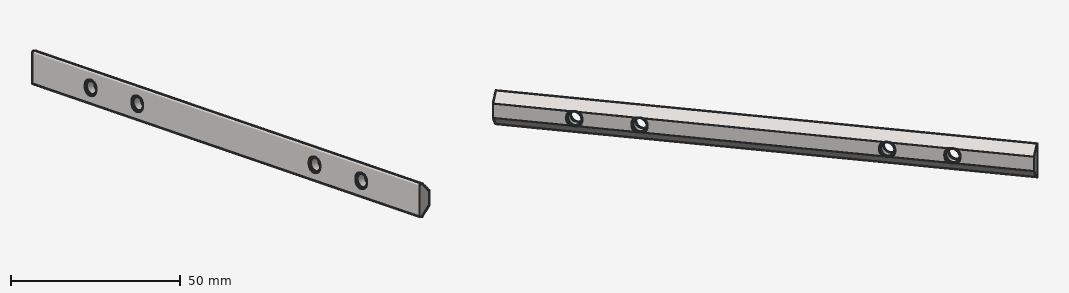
import cadquery as cq
import math

length = 166.0
thickness = 4.0
height = 10.5

edge_radius = 0.7

core_diameter = 4.13
thread_diameter = 5.0
outer_hole_spacing = 116.0
inner_hole_spacing = 76.0

front_y = -thickness / 2
back_y = thickness / 2
half_height = height / 2
corner_loss = edge_radius * math.sqrt(2)
sharp_half_height = half_height + corner_loss
back_half_height = sharp_half_height - thickness
countersink_depth = (thread_diameter - core_diameter) / 2
hole_positions = [
    side * spacing / 2
    for spacing in (outer_hole_spacing, inner_hole_spacing)
    for side in (-1, 1)
]


def make_bar():
    """Trapezoidal bar along X, its two long sharp edges rounded into the flanks."""
    profile = [
        (front_y, -sharp_half_height),
        (back_y, -back_half_height),
        (back_y, back_half_height),
        (front_y, sharp_half_height),
    ]
    bar = cq.Workplane("YZ").polyline(profile).close().extrude(length / 2, both=True)
    return bar.faces("<Y").edges("|X").fillet(edge_radius)


def make_hole_cutter(x):
    """Through-hole along Y with a 45-degree countersink at each end."""
    core_radius = core_diameter / 2
    rim_radius = thread_diameter / 2
    half_section = [
        (x, front_y),
        (x + rim_radius, front_y),
        (x + core_radius, front_y + countersink_depth),
        (x + core_radius, back_y - countersink_depth),
        (x + rim_radius, back_y),
        (x, back_y),
    ]
    outline = cq.Workplane("XY").polyline(half_section).close()
    return outline.revolve(360, (x, front_y), (x, back_y))


result = make_bar()
for hole_x in hole_positions:
    result = result.cut(make_hole_cutter(hole_x))